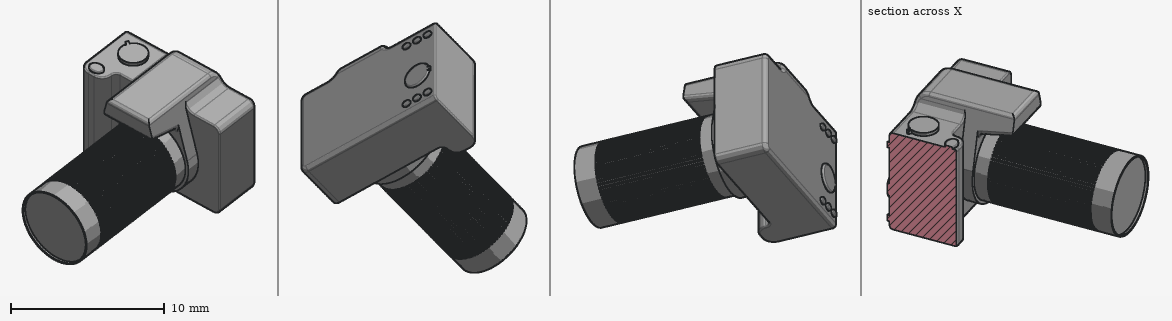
import cadquery as cq
import math


body_left = -6.2
body_right = 4.8
body_bottom = -3.5
body_height = 7.5
body_top = body_bottom + body_height
body_depth = 3.75
side_corner_radius = 0.5
small_edge_radius = 0.1

grip_round_radius = 0.8
grip_root_radius = 0.4
grip_flat_width = 0.49
grip_front = -(body_depth + grip_round_radius + grip_root_radius)

hump_top = 5.1
hump_top_left = -1.8
hump_top_right = 1.68
hump_front = 7.25
hump_edge_radius = 0.3
hump_back_radius = 1.0
hump_root_radius = 0.8
underside_root_height = 3.13
underside_slope = 10.8
underside_root_radius = 0.35

mount_diameter = 6.0
mount_radius = mount_diameter / 2
mount_front = 4.75
lens_diameter = 5.5
lens_front = 14.75
recess_diameter = 5.3
recess_depth = 0.2

knurl_start = 5.75
knurl_length = 7.5
groove_count = 73
groove_width = 0.1
groove_depth = 0.1
groove_start = 90

dial_x = -4.2
dial_y = -1.8
dial_radius = 1.0
dial_height = 0.25
pointer_reach = 1.25
pointer_width = 0.22
pointer_angle = 150

shutter_x = -5.2
shutter_y = -4.34
shutter_length = 1.1
shutter_width = 0.85
shutter_height = 0.15
shutter_edge_radius = 0.07

control_height = 0.15
control_edge_radius = 0.05
control_x = -4.78
button_pitch = 0.85
button_length = 0.6
button_rows = ((2.97, 0.45), (-2.68, 0.49))
wheel_z = -0.46
wheel_radius = 0.98
wheel_edge_radius = 0.1
wheel_tab_reach = 1.07
wheel_tab_width = 0.35


def near(x, y, z):
    """Selector of the edge whose middle is nearest to a point."""
    return cq.selectors.NearestToPointSelector((x, y, z))


def hump_prism(back, front):
    """Hump and mount outline (flat top, tangent flanks, round bottom) between two depths."""

    def tangent_point(x, side):
        angle = math.atan2(hump_top, x) - side * math.acos(mount_radius / math.hypot(x, hump_top))
        return mount_radius * math.cos(angle), mount_radius * math.sin(angle)

    return (
        cq.Workplane("XZ", origin=(0, -back, 0))
        .moveTo(hump_top_left, hump_top)
        .lineTo(hump_top_right, hump_top)
        .lineTo(*tangent_point(hump_top_right, 1))
        .threePointArc((0, -mount_radius), tangent_point(hump_top_left, -1))
        .close()
        .extrude(front - back)
    )


def make_grip_block():
    """Block with the grip at its front left and rounded corners on the right."""
    round_y = grip_front + grip_round_radius
    flat_left = body_left + grip_round_radius
    flat_right = flat_left + grip_flat_width
    grip_right = flat_right + grip_round_radius
    plan = (
        cq.Workplane("XY", origin=(0, 0, body_bottom))
        .moveTo(body_left, 0)
        .lineTo(body_left, round_y)
        .radiusArc((flat_left, grip_front), -grip_round_radius)
        .lineTo(flat_right, grip_front)
        .radiusArc((grip_right, round_y), -grip_round_radius)
        .radiusArc((grip_right + grip_root_radius, -body_depth), grip_root_radius)
        .lineTo(body_right, -body_depth)
        .lineTo(body_right, 0)
        .close()
    )
    return plan.extrude(body_height).edges("|Y and >X").fillet(side_corner_radius)


def make_body():
    """Block with the part of the hump that stands on it, rounded all round."""
    body = make_grip_block().union(hump_prism(0, body_depth))

    for hump_side in (hump_top_left, hump_top_right):
        hollow = near(hump_side, -body_depth / 2, body_top)
        body = body.edges("|Y").edges(hollow).fillet(hump_root_radius)
    body = body.faces(">Z").edges(">Y").fillet(hump_back_radius)

    body = body.faces(">Z").edges("|Y").fillet(hump_edge_radius)

    grip_edge = near(body_left + grip_round_radius, grip_front, body_top)
    return body.edges("|X").edges(grip_edge).fillet(small_edge_radius)


def make_overhang():
    """Front part of the hump, which juts out over the lens, and the lens mount below it."""
    back = body_depth - small_edge_radius
    hump = hump_prism(back, hump_front)
    mount = hump_prism(back, mount_front)

    rise = (hump_front - mount_front) * math.tan(math.radians(underside_slope))
    underside_front_height = underside_root_height + rise
    clear_width = 4 * mount_radius
    low = -2 * mount_radius
    space = (
        cq.Workplane("YZ", origin=(-clear_width / 2, 0, 0))
        .polyline([
            (-mount_front, underside_root_height),
            (-hump_front, underside_front_height),
            (-hump_front, low),
            (-mount_front, low),
        ])
        .close()
        .extrude(clear_width)
    )
    hump = hump.cut(space)
    root = hump.edges("|X").edges(near(0, -mount_front, underside_root_height))
    hump = root.fillet(underside_root_radius)

    front_edge = hump.edges("|X").edges(near(0, -hump_front, underside_front_height))
    side_edges = cq.selectors.BoxSelector(
        (-mount_radius, -hump_front, underside_root_height),
        (mount_radius, -mount_front - underside_root_radius / 2, underside_front_height),
    )
    hump = front_edge.add(hump.edges(side_edges)).fillet(hump_edge_radius).union(mount)

    return hump.faces(">Z").edges("not >Y").fillet(hump_edge_radius)


def make_lens():
    """Barrel with a recessed front and straight grooves around its middle."""
    lens = cq.Workplane("XZ").circle(lens_diameter / 2).extrude(lens_front)
    lens = lens.faces("<Y").workplane().circle(recess_diameter / 2).cutBlind(-recess_depth)
    grooves = (
        cq.Workplane("XZ", origin=(0, -knurl_start, 0))
        .polarArray(lens_diameter / 2, groove_start, 360, groove_count)
        .rect(2 * groove_depth, groove_width)
        .extrude(knurl_length)
    )
    return lens.cut(grooves)


def make_dial():
    """Mode dial with a short pointer on its rim."""
    dial = cq.Workplane("XY").circle(dial_radius).extrude(dial_height)
    pointer = cq.Workplane("XY").rect(pointer_reach, pointer_width).extrude(dial_height)
    pointer = pointer.translate((pointer_reach / 2, 0, 0)).rotate((0, 0, 0), (0, 0, 1), pointer_angle)
    return dial.union(pointer).translate((dial_x, dial_y, body_top))


def make_shutter():
    """Oval shutter button on top of the grip."""
    button = cq.Workplane("XY", origin=(shutter_x, shutter_y, body_top))
    button = button.ellipse(shutter_length / 2, shutter_width / 2).extrude(shutter_height)
    return button.faces(">Z").edges().fillet(shutter_edge_radius)


def make_back_controls():
    """Control wheel with a tab on its left rim, between two rows of three oval buttons."""

    def raised(outline, edge_radius):
        return outline.extrude(-control_height).faces(">Y").edges().fillet(edge_radius)

    back = cq.Workplane("XZ")
    controls = raised(back.center(control_x, wheel_z).circle(wheel_radius), wheel_edge_radius)
    tab = back.center(control_x - wheel_tab_reach / 2, wheel_z).rect(wheel_tab_reach, wheel_tab_width)
    controls = controls.union(raised(tab, control_edge_radius))
    for z, width in button_rows:
        for step in (-1, 0, 1):
            place = back.center(control_x + step * button_pitch, z)
            button = raised(place.ellipse(button_length / 2, width / 2), control_edge_radius)
            controls = controls.union(button)
    return controls


camera = make_body().union(make_overhang())
for part in (make_lens(), make_dial(), make_shutter(), make_back_controls()):
    camera = camera.union(part)
result = camera